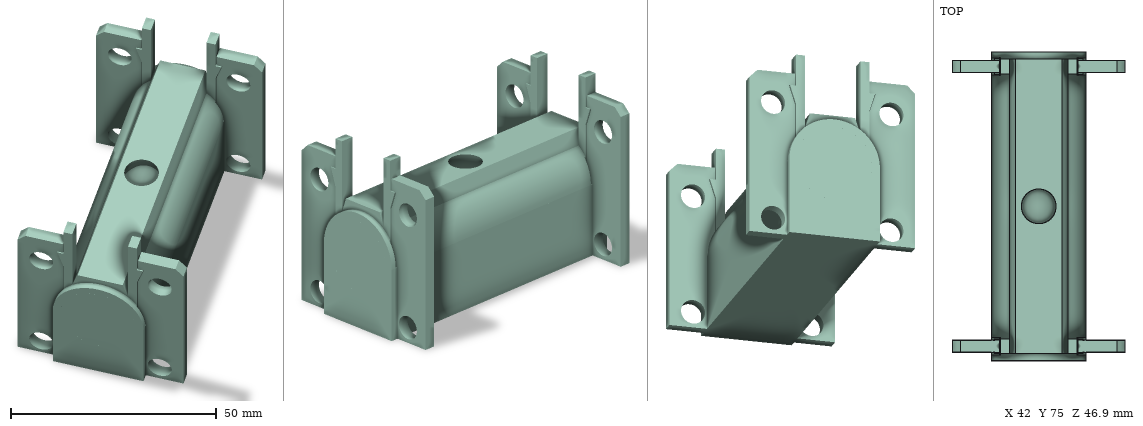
import cadquery as cq
import math

length = 75.0
bar_diameter = 19.0
axis_height = 19.0
shell_radius = 11.5

flange_half_width = 21.0
flange_height = 42.0
flange_chamfer = 2.0
flange_thickness = 3.0
flange_center_inset = 3.5
flange_hole_diameter = 6.1
flange_hole_offset = 15.0
lower_hole_height = 4.05
hole_spacing = 30.0

ridge_height = 32.0
ridge_top_half_width = 5.7
ridge_end_inset = 1.7
socket_diameter = 11.0

prong_inner = 7.05
prong_outer = 9.3
prong_height = 46.9
prong_thickness = 3.6
barb_depth = 1.5
barb_top = 38.85
barb_bottom = 34.2
slot_width = 4.2

bar_radius = bar_diameter / 2
flange_inner = bar_radius
end_signs = (-1, 1)
flange_center_y = length / 2 - flange_center_inset


def extrude_along_y(profile, center_y, depth):
    """Extrude an XZ profile by depth, centred on center_y."""
    return profile.extrude(depth).translate((0, center_y + depth / 2, 0))


def round_bar(radius):
    """Full-length cylinder on the bar axis."""
    circle = cq.Workplane("XZ").center(0, axis_height).circle(radius)
    return extrude_along_y(circle, 0, length)


def mirrored_pair(right_half):
    """Join a shape to its mirror image across the YZ plane."""
    return right_half.union(right_half.mirror("YZ"))


def barbed_edge(edge_x):
    """Points up a snap edge: start of the slope, barb tip, back to the edge."""
    return [(edge_x, barb_bottom), (edge_x + barb_depth, barb_top), (edge_x, barb_top)]


def make_flange_pair(center_y):
    """Right and left flange plates with chamfered corners, snap notches and screw holes."""
    outline = [
        (flange_inner, 0),
        *barbed_edge(flange_inner),
        (flange_inner, flange_height),
        (flange_half_width - flange_chamfer, flange_height),
        (flange_half_width, flange_height - flange_chamfer),
        (flange_half_width, 0),
    ]
    plate = extrude_along_y(cq.Workplane("XZ").polyline(outline).close(), center_y, flange_thickness)
    hole_points = [
        (flange_hole_offset, lower_hole_height),
        (flange_hole_offset, lower_hole_height + hole_spacing),
    ]
    hole_circles = cq.Workplane("XZ").pushPoints(hole_points).circle(flange_hole_diameter / 2)
    holes = extrude_along_y(hole_circles, center_y, flange_thickness)
    return mirrored_pair(plate.cut(holes))


def make_base():
    """Block with a half-round cradle and a pair of flanges near each end."""
    base = cq.Workplane("XY").box(2 * shell_radius, length, axis_height, centered=(True, True, False))
    for sign in end_signs:
        base = base.union(make_flange_pair(sign * flange_center_y))
    return base.cut(round_bar(bar_radius))


def make_half_shell():
    """Solid half cylinder above the split plane."""
    profile = (
        cq.Workplane("XZ")
        .moveTo(-shell_radius, axis_height)
        .threePointArc((0, axis_height + shell_radius), (shell_radius, axis_height))
        .close()
    )
    return extrude_along_y(profile, 0, length)


def make_ridge():
    """Tapered ridge whose flanks meet the shell at the inner faces of the prongs."""
    foot_height = axis_height + math.sqrt(shell_radius**2 - prong_inner**2)
    outline = [
        (-prong_inner, axis_height),
        (-prong_inner, foot_height),
        (-ridge_top_half_width, ridge_height),
        (ridge_top_half_width, ridge_height),
        (prong_inner, foot_height),
        (prong_inner, axis_height),
    ]
    profile = cq.Workplane("XZ").polyline(outline).close()
    return extrude_along_y(profile, 0, length - 2 * ridge_end_inset)


def make_slot_pair(center_y):
    """Cutters that open the shell sides where the flanges pass."""
    slot_depth = shell_radius - prong_outer
    cutter = (
        cq.Workplane("XY")
        .box(slot_depth, slot_width, shell_radius, centered=(False, True, False))
        .translate((prong_outer, center_y, axis_height))
    )
    return mirrored_pair(cutter)


def make_prong_pair(center_y):
    """Upright snap prongs with outward barbs."""
    outline = [
        (prong_inner, axis_height),
        (prong_outer, axis_height),
        *barbed_edge(prong_outer),
        (prong_outer, prong_height),
        (prong_inner, prong_height),
    ]
    profile = cq.Workplane("XZ").polyline(outline).close()
    return mirrored_pair(extrude_along_y(profile, center_y, prong_thickness))


def make_cover():
    """Half-round shell with ridge, flange slots, snap prongs and ball socket."""
    cover = make_half_shell().union(make_ridge())
    for sign in end_signs:
        center_y = sign * flange_center_y
        cover = cover.cut(make_slot_pair(center_y)).union(make_prong_pair(center_y))
    socket = cq.Workplane("XY").sphere(socket_diameter / 2).translate((0, 0, axis_height + bar_radius))
    return cover.cut(round_bar(bar_radius)).cut(socket)


base = make_base()
cover = make_cover()
bar = round_bar(bar_radius)

result = cq.Compound.makeCompound([base.solids().val(), cover.solids().val(), bar.solids().val()])